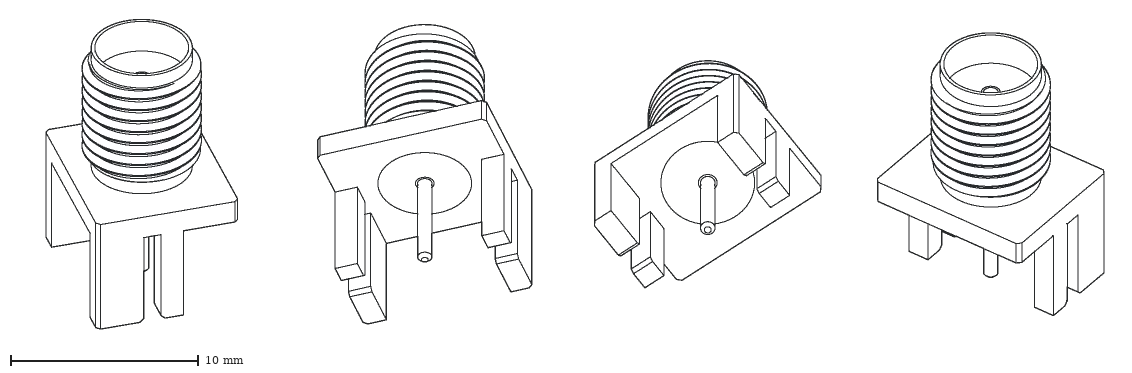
import cadquery as cq
import math

TOTAL_HEIGHT = 14.3
BASE_LENGTH = 9.52
BASE_WIDTH = 7.92

BASE_BOTTOM = 5.4
BASE_TOP = 6.72
EDGE_CHAMFER = 0.21
LEG_WIDTH = 1.26
LEGS_BACK = 0.87
SLOT_WIDTH = 0.96
SLOT_BACK = LEGS_BACK - LEG_WIDTH
SLOT_FRONT = SLOT_BACK - SLOT_WIDTH

BARREL_RADIUS = 2.7
BORE_RADIUS = 2.5
INSULATOR_TOP = 12.4

PIN_RADIUS = 0.39
PIN_CHAMFER = 0.2
SOCKET_RADIUS = 0.5
SOCKET_DEPTH = 2.86

SLEEVE_BOTTOM = 7.48
SLEEVE_TOP = 13.51
ROOT_RADIUS = 2.79
CREST_RADIUS = 3.19
SEVEN_PITCHES = 4.93
PITCH = SEVEN_PITCHES / 7
CREST_FLAT = 0.07
FLANK_ANGLE = math.radians(30)
TOP_CREST_HEIGHT = 13.15
RIDGE_OVERLAP = 0.03


def box_between(x_range, y_range, z_range):
    size = [high - low for low, high in (x_range, y_range, z_range)]
    low_corner = (x_range[0], y_range[0], z_range[0])
    return cq.Workplane("XY").box(*size, centered=False).translate(low_corner)


def disc(radius, bottom, top):
    return cq.Workplane("XY").workplane(offset=bottom).circle(radius).extrude(top - bottom)


def make_housing():
    half_length = BASE_LENGTH / 2
    half_width = BASE_WIDTH / 2
    leg_inner = half_length - LEG_WIDTH
    full_x = (-half_length, half_length)
    under_base = (0, BASE_BOTTOM)

    block = cq.Workplane("XY").rect(BASE_LENGTH, BASE_WIDTH).extrude(BASE_TOP)
    block = block.edges("|Z").chamfer(EDGE_CHAMFER)

    block = block.cut(box_between((-leg_inner, leg_inner), (-half_width, half_width), under_base))
    block = block.cut(box_between(full_x, (LEGS_BACK, half_width), under_base))
    block = block.cut(box_between(full_x, (SLOT_FRONT, SLOT_BACK), under_base))

    mouth = cq.selectors.BoxSelector(
        (-BASE_LENGTH, SLOT_FRONT - EDGE_CHAMFER, -EDGE_CHAMFER),
        (BASE_LENGTH, SLOT_BACK + EDGE_CHAMFER, EDGE_CHAMFER),
    )
    block = block.edges("|X").edges(mouth).chamfer(EDGE_CHAMFER)

    barrel = disc(BARREL_RADIUS, BASE_TOP, TOTAL_HEIGHT)
    bore = disc(BORE_RADIUS, BASE_BOTTOM, TOTAL_HEIGHT)
    return block.union(barrel).cut(bore)


def make_insulator():
    return disc(BORE_RADIUS, BASE_BOTTOM, INSULATOR_TOP).cut(
        disc(SOCKET_RADIUS, BASE_BOTTOM, INSULATOR_TOP)
    )


def make_contact():
    pin = disc(PIN_RADIUS, 0, BASE_BOTTOM).faces("<Z").chamfer(PIN_CHAMFER)
    socket = disc(SOCKET_RADIUS, BASE_BOTTOM, INSULATOR_TOP)
    socket_bore = disc(PIN_RADIUS, INSULATOR_TOP - SOCKET_DEPTH, INSULATOR_TOP)
    return pin.union(socket).cut(socket_bore)


def make_ridge():
    """Right-handed helical ridge that overruns both ends of the sleeve."""
    turns = math.ceil((SLEEVE_TOP - SLEEVE_BOTTOM) / PITCH) + 2
    start = TOP_CREST_HEIGHT - (turns - 1) * PITCH
    base_radius = ROOT_RADIUS - RIDGE_OVERLAP
    half_crest = CREST_FLAT / 2
    half_base = half_crest + (CREST_RADIUS - base_radius) * math.tan(FLANK_ANGLE)

    helix = cq.Wire.makeHelix(PITCH, turns * PITCH, ROOT_RADIUS, center=cq.Vector(0, 0, start))
    profile = cq.Workplane("XZ").polyline([
        (base_radius, start - half_base),
        (CREST_RADIUS, start - half_crest),
        (CREST_RADIUS, start + half_crest),
        (base_radius, start + half_base),
    ]).close()
    return profile.sweep(cq.Workplane(helix), isFrenet=True)


def make_sleeve():
    outer_radius = CREST_RADIUS + RIDGE_OVERLAP
    end_drop = (outer_radius - BARREL_RADIUS) * math.tan(FLANK_ANGLE)
    limits = (
        cq.Workplane("XZ")
        .polyline([
            (BARREL_RADIUS, SLEEVE_BOTTOM),
            (outer_radius, SLEEVE_BOTTOM + end_drop),
            (outer_radius, SLEEVE_TOP - end_drop),
            (BARREL_RADIUS, SLEEVE_TOP),
        ])
        .close()
        .revolve(360, (0, 0, 0), (0, 1, 0))
    )
    core = disc(ROOT_RADIUS, SLEEVE_BOTTOM, SLEEVE_TOP).cut(
        disc(BARREL_RADIUS, SLEEVE_BOTTOM, SLEEVE_TOP)
    )
    return core.intersect(limits).union(make_ridge().intersect(limits))


housing = make_housing()
insulator = make_insulator()
contact = make_contact()
threaded_sleeve = make_sleeve()

result = cq.Compound.makeCompound([
    housing.solids().val(),
    insulator.solids().val(),
    contact.solids().val(),
    threaded_sleeve.solids().val(),
])